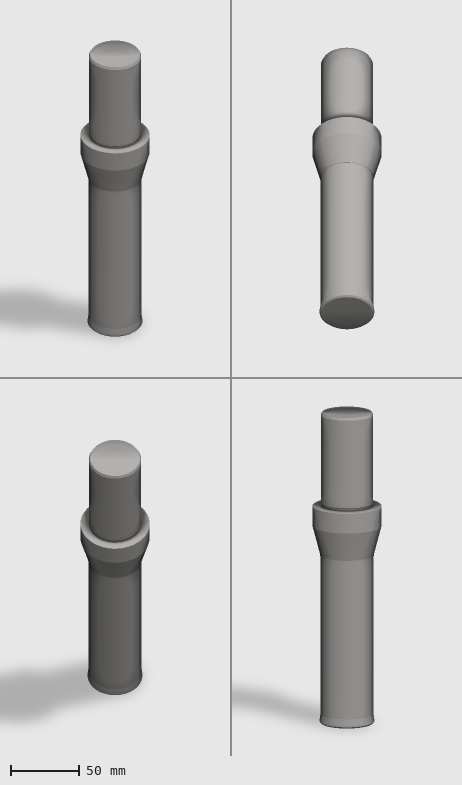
import cadquery as cq

total_length = 234.0

lower_radius = 19.5
upper_radius = 19.2
top_chamfer_width = 1.0
top_chamfer_height = 1.9

collar_radius = 25.38
collar_bottom = 125.9
cone_bottom = 126.5
cone_top = 148.5
collar_top = 163.8
cone_base_radius = lower_radius + 0.2
collar_edge_chamfer = 0.2
bore_edge_chamfer = 0.35

groove_radius = 18.7
groove_top = collar_top + 1.6
groove_chamfer = upper_radius - groove_radius

foot_radius = 20.1
flare_top = 7.0
flare_bottom = 2.0
foot_chamfer_height = 1.2
foot_end_radius = 19.0


def revolve_about_z(outline):
    """Turn a closed radius-height outline a full turn about the Z axis."""
    return outline.close().revolve(360, (0, 0, 0), (0, 1, 0))


def make_pillar():
    """Turned pillar with a chamfered top, a groove, a collar seat and a flared foot."""
    outline = (
        cq.Workplane("XZ")
        .moveTo(0, 0)
        .lineTo(foot_end_radius, 0)
        .lineTo(foot_radius, foot_chamfer_height)
        .lineTo(foot_radius, flare_bottom)
        .lineTo(lower_radius, flare_top)
        .lineTo(lower_radius, collar_top - bore_edge_chamfer)
        .lineTo(groove_radius, collar_top - bore_edge_chamfer)
        .lineTo(groove_radius, groove_top)
        .lineTo(upper_radius, groove_top + groove_chamfer)
        .lineTo(upper_radius, total_length - top_chamfer_height)
        .lineTo(upper_radius - top_chamfer_width, total_length)
        .lineTo(0, total_length)
    )
    return revolve_about_z(outline)


def make_collar():
    """Ring around the pillar: a cylinder above a cone that ends in a thin rim."""
    outline = (
        cq.Workplane("XZ")
        .moveTo(lower_radius, collar_bottom)
        .lineTo(cone_base_radius, collar_bottom)
        .lineTo(cone_base_radius, cone_bottom)
        .lineTo(collar_radius, cone_top)
        .lineTo(collar_radius, collar_top - collar_edge_chamfer)
        .lineTo(collar_radius - collar_edge_chamfer, collar_top)
        .lineTo(lower_radius + bore_edge_chamfer, collar_top)
        .lineTo(lower_radius, collar_top - bore_edge_chamfer)
    )
    return revolve_about_z(outline)


pillar = make_pillar()
collar = make_collar()

result = cq.Compound.makeCompound([pillar.val(), collar.val()])